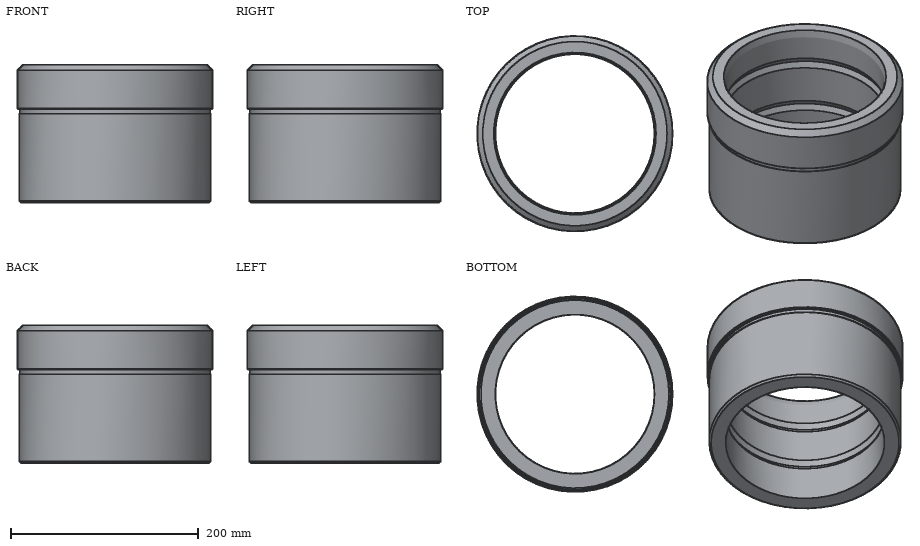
import cadquery as cq

height = 147.0
collar_radius = 208.5 / 2
body_radius = 204.5 / 2
relief_radius = 203.5 / 2
collar_bottom = 99.7
relief_bottom = 94.9
collar_top_chamfer = 6.0
collar_bottom_chamfer = 0.8
foot_chamfer = 2.0

bore_radius = 169.3 / 2
mouth_flare = 1.9
mouth_depth = 8.0
groove_cut = 3.3
groove_width = 12.5
groove_depths = (35.2, 90.3)


def cylinder(radius, bottom, top):
    return cq.Workplane("XY").workplane(offset=bottom).circle(radius).extrude(top - bottom)


def make_sleeve():
    body = cylinder(body_radius, 0, relief_bottom).faces("<Z").chamfer(foot_chamfer)
    relief = cylinder(relief_radius, relief_bottom, collar_bottom)
    collar = cylinder(collar_radius, collar_bottom, height)
    collar = collar.faces(">Z").chamfer(collar_top_chamfer)
    collar = collar.faces("<Z").chamfer(collar_bottom_chamfer)
    return body.union(relief).union(collar)


def make_bore():
    bore = cylinder(bore_radius, 0, height)
    mouth = (
        cq.Workplane("XZ")
        .moveTo(0, height - mouth_depth)
        .lineTo(bore_radius, height - mouth_depth)
        .lineTo(bore_radius + mouth_flare, height)
        .lineTo(0, height)
        .close()
        .revolve(360, (0, 0), (0, 1))
    )
    return bore.union(mouth)


def make_groove(depth):
    """Disc with a V-shaped rim that cuts a shallow groove into the bore."""
    top = height - depth
    bottom = top - groove_width
    return (
        cq.Workplane("XZ")
        .moveTo(0, bottom)
        .lineTo(bore_radius, bottom)
        .lineTo(bore_radius + groove_cut, bottom + groove_width / 2)
        .lineTo(bore_radius, top)
        .lineTo(0, top)
        .close()
        .revolve(360, (0, 0), (0, 1))
    )


result = make_sleeve().cut(make_bore())
for groove_depth in groove_depths:
    result = result.cut(make_groove(groove_depth))